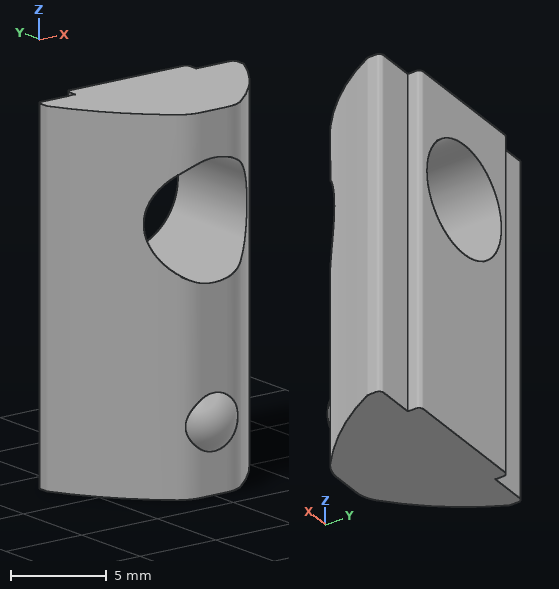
import cadquery as cq
import math

length = 21.0
body_width = 13.0
tab_width = 8.0
shoulder_depth = 0.8
side_end_depth = 1.62
nose_depth = 7.5
nose_width = 3.1
flank_radius = 16.38

edge_radius = 0.3
nose_radius = 2.0

hole_diameter = 6.8
hole_from_top = 6.0
ball_radius = 2.0
ball_from_top = 17.0
overall_depth = 8.3


def bulge_point(start, end, radius):
    """Middle point of an arc bulging to the left, going along the line from start to end."""
    dx = end[0] - start[0]
    dy = end[1] - start[1]
    chord = math.hypot(dx, dy)
    sagitta = radius - math.sqrt(radius**2 - (chord / 2)**2)
    mid_x = (start[0] + end[0]) / 2 - sagitta * dy / chord
    mid_y = (start[1] + end[1]) / 2 + sagitta * dx / chord
    return (mid_x, mid_y)


def round_corners(body, corners, radius):
    """Round the vertical edges standing on the given corners and their mirror images."""
    edges = cq.Workplane("XY")
    for x, y in corners:
        for side in (-1, 1):
            corner = (side * x, y, length / 2)
            edges = edges.add(body.edges(cq.selectors.NearestToPointSelector(corner)))
    return body.newObject([body.findSolid().fillet(radius, edges.vals())])


def make_body():
    tab_corner = (tab_width / 2, 0)
    shoulder_corner = (body_width / 2, -shoulder_depth)
    flank_start = (body_width / 2, -side_end_depth)
    nose_corner = (nose_width / 2, -nose_depth)

    flank_x, flank_y = bulge_point(flank_start, nose_corner, flank_radius)
    body = (
        cq.Workplane("XY")
        .moveTo(0, 0)
        .lineTo(*tab_corner)
        .lineTo(tab_width / 2, -shoulder_depth)
        .lineTo(*shoulder_corner)
        .lineTo(*flank_start)
        .threePointArc((flank_x, flank_y), nose_corner)
        .lineTo(-nose_corner[0], nose_corner[1])
        .threePointArc((-flank_x, flank_y), (-flank_start[0], flank_start[1]))
        .lineTo(-shoulder_corner[0], shoulder_corner[1])
        .lineTo(-tab_width / 2, -shoulder_depth)
        .lineTo(-tab_corner[0], tab_corner[1])
        .close()
        .extrude(length)
    )
    body = round_corners(body, [nose_corner], nose_radius)
    return round_corners(body, [tab_corner, shoulder_corner, flank_start], edge_radius)


def make_hole():
    return (
        cq.Workplane("XZ")
        .center(0, length - hole_from_top)
        .circle(hole_diameter / 2)
        .extrude(overall_depth)
    )


def make_ball():
    ball_center = (0, ball_radius - overall_depth, length - ball_from_top)
    return cq.Workplane("XY").sphere(ball_radius).translate(ball_center)


result = make_body().cut(make_hole()).union(make_ball())